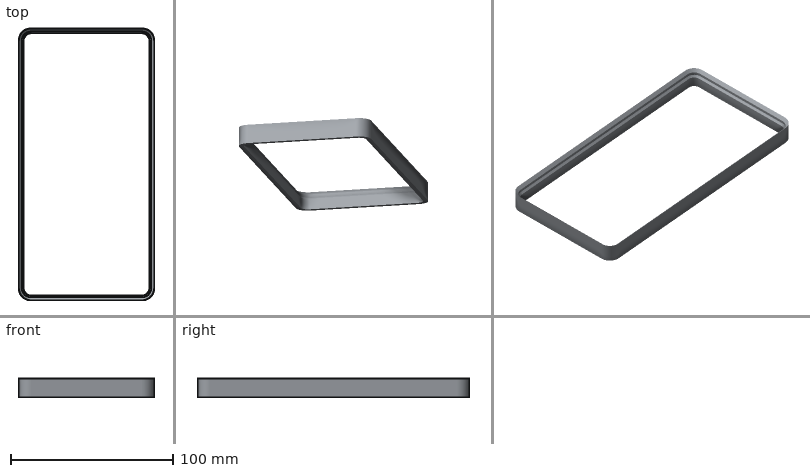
import cadquery as cq

size_x = 83.5
size_y = 167.5
height = 11.7
corner_radius = 7.5

upper_bevel = 1.9
step_height = 1.8
lower_bevel = 1.2

straight = 0
bevel_taper = -45

upper_bevel_bottom = height - upper_bevel
step_bottom = upper_bevel_bottom - step_height
wall_top = step_bottom - lower_bevel
wall_thickness = upper_bevel + lower_bevel


def rounded_prism(inset, bottom, top, taper=straight):
    """Prism on the outer outline moved in by inset, corners kept concentric."""
    return (
        cq.Workplane("XY")
        .workplane(offset=bottom)
        .sketch()
        .rect(size_x - 2 * inset, size_y - 2 * inset)
        .vertices()
        .fillet(corner_radius - inset)
        .finalize()
        .extrude(top - bottom, taper=taper)
    )


def bevel_cutter(bottom_inset, bottom, bevel):
    """Opening that widens upward at 45 degrees over the height of the bevel."""
    return rounded_prism(bottom_inset, bottom, bottom + bevel, taper=bevel_taper)


frame = rounded_prism(0, 0, height)
frame = frame.cut(rounded_prism(wall_thickness, 0, wall_top))
frame = frame.cut(bevel_cutter(wall_thickness, wall_top, lower_bevel))
frame = frame.cut(rounded_prism(upper_bevel, step_bottom, upper_bevel_bottom))
frame = frame.cut(bevel_cutter(upper_bevel, upper_bevel_bottom, upper_bevel))

result = frame